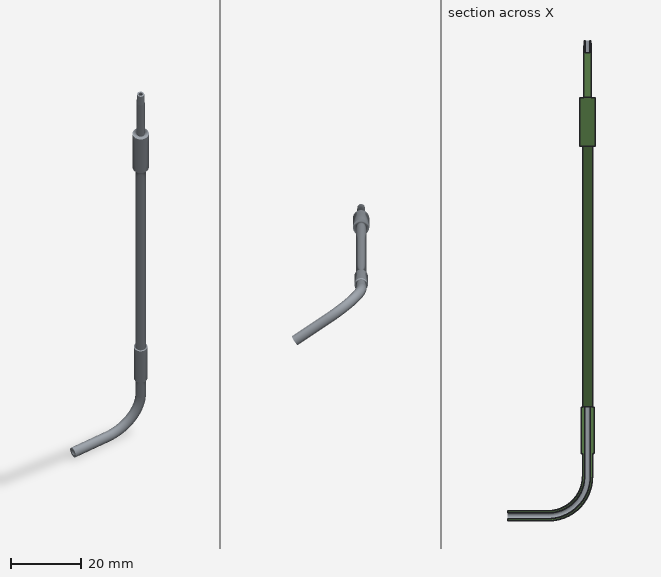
import cadquery as cq

total_height = 136.6
head_z = 133.2
coupler_top_z = 120.4
coupler_bottom_z = 106.4
collar_top_z = 32.4
collar_bottom_z = 19.1
bend_start_z = 12.7

shank_d = 2.3
head_top_d = 2.0
coupler_d = 4.6
tube_d = 3.0
collar_d = 3.8
bore_d = 1.5
shank_bore_d = 1.2

collar_chamfer = 0.3
shank_bore_depth = 3.4
outer_width_y = 25.1
tip_y = coupler_d / 2 - outer_width_y
outlet_z = tube_d / 2
bend_radius = bend_start_z - outlet_z


def cylinder(diameter, bottom_z, top_z):
    """Solid cylinder on the Z axis between two heights."""
    return cq.Workplane("XY", origin=(0, 0, bottom_z)).circle(diameter / 2).extrude(top_z - bottom_z)


def make_shank():
    """Drive shank with a tapered head and a blind bore in its top."""
    body = cylinder(shank_d, coupler_top_z, head_z)
    head = (
        cq.Workplane("XY", origin=(0, 0, head_z))
        .circle(shank_d / 2)
        .workplane(offset=total_height - head_z)
        .circle(head_top_d / 2)
        .loft()
    )
    bore = cylinder(shank_bore_d, total_height - shank_bore_depth, total_height)
    return body.union(head).cut(bore)


def make_coupler():
    """Plain cylinder joining the shank to the straight shaft."""
    return cylinder(coupler_d, coupler_bottom_z, coupler_top_z)


def make_straight_shaft():
    """Long plain shaft between the coupler and the collar."""
    return cylinder(tube_d, collar_top_z, coupler_bottom_z)


def bent_rod(diameter):
    """Solid rod following the bend from the collar top to the tip."""
    path = (
        cq.Workplane("YZ")
        .moveTo(0, collar_top_z)
        .lineTo(0, bend_start_z)
        .radiusArc((-bend_radius, outlet_z), bend_radius)
        .lineTo(tip_y, outlet_z)
    )
    return cq.Workplane("XY", origin=(0, 0, collar_top_z)).circle(diameter / 2).sweep(path)


def make_bent_tube():
    """Hollow tube turning toward -Y, with a thicker collar at its upper end."""
    collar = cylinder(collar_d, collar_bottom_z, collar_top_z).faces("<Z").chamfer(collar_chamfer)
    return bent_rod(tube_d).union(collar).cut(bent_rod(bore_d))


shank = make_shank()
coupler = make_coupler()
straight_shaft = make_straight_shaft()
bent_tube = make_bent_tube()

result = cq.Compound.makeCompound(
    [shank.val(), coupler.val(), straight_shaft.val(), bent_tube.val()]
)